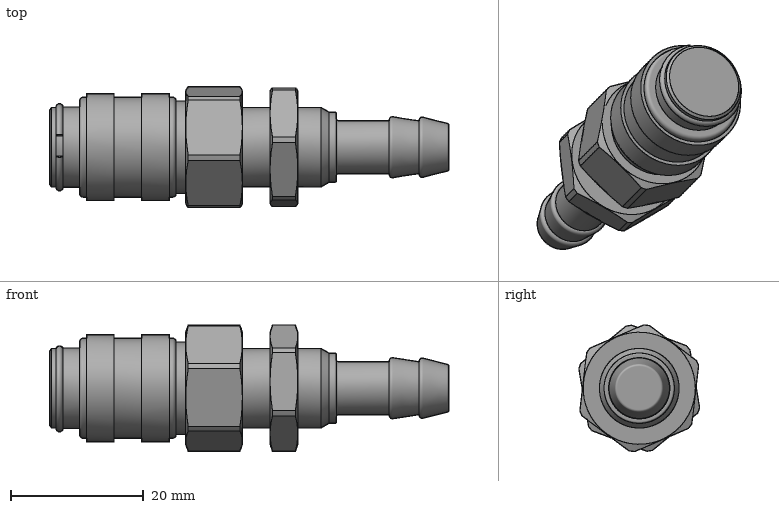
import cadquery as cq
import math

total_length = 60.15

tip_face_dia = 11.18
tip_dia = 12.0
tip_chamfer_length = 0.3
ring_groove_dia = 11.4
ring_start = 0.95
ring_width = 1.1
ring_crest_dia = 13.15
ring_gap_start_angle = -13.3
ring_gap_end_angle = 17.0
neck_dia = 12.15

sleeve_start = 4.53
sleeve_end = 19.07
sleeve_dia = 15.1
sleeve_fillet = 0.55
band_dia = 16.15
band_length = 4.17
front_band_start = 5.56
rear_band_start = 13.86

collar_dia = 14.0

hex_across_flats = 17.0
hex_corner_dia = 19.15
hex_chamfer_length = 0.38
hex_chamfer_depth = 1.13
front_hex_start = 20.5
front_hex_end = 29.05
front_hex_angle = 20.5
nut_start = 33.2
nut_end = 37.4
nut_angle = 36.7

shank_dia = 12.0
shank_end = 40.88
shoulder_dia = 10.6
shoulder_end = 43.2
shoulder_fillet = 0.25
runout_angle = 30.0

stem_dia = 8.05
stem_root_fillet = 0.3
barb_dia = 9.4
barb_fillet = 0.5
first_barb_start = 51.15
first_barb_end_dia = 8.0
second_barb_start = 55.65
second_barb_end_dia = 7.1
stem_tip_fillet = 0.35


def cylinder(start, end, diameter):
    return cq.Workplane("YZ").workplane(offset=start).circle(diameter / 2).extrude(end - start)


def cone(start, end, start_dia, end_dia):
    solid = cq.Solid.makeCone(
        start_dia / 2, end_dia / 2, end - start, cq.Vector(start, 0, 0), cq.Vector(1, 0, 0)
    )
    return cq.Workplane(obj=solid)


def make_tip():
    """Chamfered tip, ring groove and neck up to the sleeve."""
    ring_end = ring_start + ring_width
    tip = cone(0, tip_chamfer_length, tip_face_dia, tip_dia)
    tip = tip.union(cylinder(tip_chamfer_length, ring_start, tip_dia))
    tip = tip.union(cylinder(ring_start, ring_end, ring_groove_dia))
    return tip.union(cylinder(ring_end, sleeve_start, neck_dia))


def make_retaining_ring():
    """Open ring with a half-round crown, interrupted by a gap near +Z."""
    crown_radius = ring_width / 2
    seat_radius = ring_groove_dia / 2
    shoulder_radius = ring_crest_dia / 2 - crown_radius
    ring_middle = ring_start + crown_radius
    ring_end = ring_start + ring_width
    sweep_angle = 360 - (ring_gap_end_angle - ring_gap_start_angle)
    ring = (
        cq.Workplane("XZ")
        .moveTo(ring_start, seat_radius)
        .lineTo(ring_start, shoulder_radius)
        .threePointArc((ring_middle, ring_crest_dia / 2), (ring_end, shoulder_radius))
        .lineTo(ring_end, seat_radius)
        .close()
        .revolve(sweep_angle, (0, 0, 0), (1, 0, 0))
    )
    return ring.rotate((0, 0, 0), (1, 0, 0), -ring_gap_start_angle)


def make_sleeve():
    """Round-edged grip sleeve with two raised bands, and the collar behind it."""
    sleeve = cylinder(sleeve_start, sleeve_end, sleeve_dia).edges().fillet(sleeve_fillet)
    for band_start in (front_band_start, rear_band_start):
        sleeve = sleeve.union(cylinder(band_start, band_start + band_length, band_dia))
    return sleeve.union(cylinder(sleeve_end, front_hex_start, collar_dia))


def make_hexagon(start, end, corner_angle):
    """Hexagon with its corners turned down and both faces chamfered."""
    across_corners = hex_across_flats / math.cos(math.radians(30))
    prism = (
        cq.Workplane("YZ")
        .workplane(offset=start)
        .polygon(6, across_corners)
        .extrude(end - start)
        .rotate((0, 0, 0), (1, 0, 0), -corner_angle)
    )
    envelope = cylinder(start, end, hex_corner_dia).edges()
    envelope = envelope.chamfer(hex_chamfer_length, hex_chamfer_depth)
    return prism.intersect(envelope)


def make_shank():
    """Shank through both hexagons, tapering to a round-edged shoulder."""
    runout_drop = (shank_dia - shoulder_dia) / 2
    runout_end = shank_end + runout_drop / math.tan(math.radians(runout_angle))
    shoulder = cylinder(runout_end, shoulder_end, shoulder_dia)
    shoulder = shoulder.faces(">X").edges().fillet(shoulder_fillet)
    shank = cylinder(front_hex_end, shank_end, shank_dia)
    shank = shank.union(cone(shank_end, runout_end, shank_dia, shoulder_dia))
    return shank.union(shoulder)


def make_barb(start, end, end_dia):
    """Tapered barb with a rounded crest."""
    return cone(start, end, barb_dia, end_dia).faces("<X").edges().fillet(barb_fillet)


def make_stem_root():
    """Concave fillet where the stem leaves the shoulder."""
    root_radius = stem_dia / 2
    fillet_end = shoulder_end + stem_root_fillet
    arc_offset = stem_root_fillet * (1 - math.cos(math.radians(45)))
    return (
        cq.Workplane("XZ")
        .moveTo(shoulder_end, 0)
        .lineTo(shoulder_end, root_radius + stem_root_fillet)
        .threePointArc((shoulder_end + arc_offset, root_radius + arc_offset), (fillet_end, root_radius))
        .lineTo(fillet_end, 0)
        .close()
        .revolve(360, (0, 0, 0), (1, 0, 0))
    )


def make_hose_stem():
    first_barb = make_barb(first_barb_start, second_barb_start, first_barb_end_dia)
    second_barb = make_barb(second_barb_start, total_length, second_barb_end_dia)
    second_barb = second_barb.faces(">X").edges().fillet(stem_tip_fillet)
    stem = make_stem_root()
    stem = stem.union(cylinder(shoulder_end, first_barb_start, stem_dia))
    return stem.union(first_barb).union(second_barb)


result = (
    make_tip()
    .union(make_retaining_ring())
    .union(make_sleeve())
    .union(make_hexagon(front_hex_start, front_hex_end, front_hex_angle))
    .union(make_shank())
    .union(make_hexagon(nut_start, nut_end, nut_angle))
    .union(make_hose_stem())
)